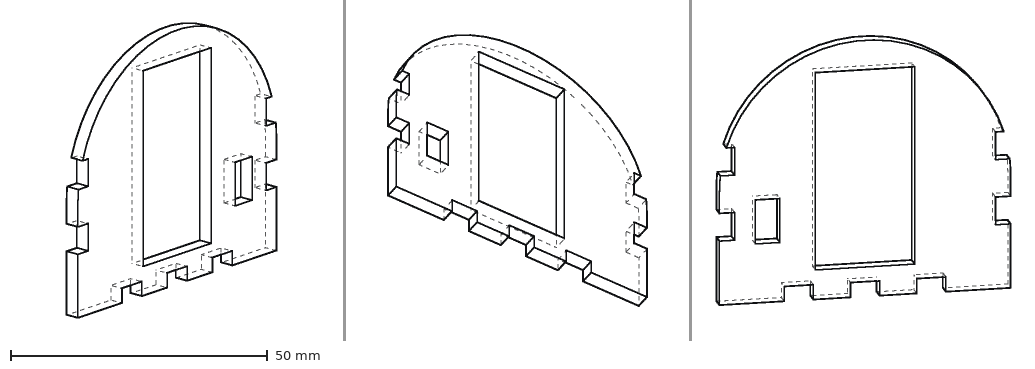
import cadquery as cq

thickness = 3.0
width = 58.0
height = 52.0
arch_radius = width / 2
arch_center_z = height - arch_radius

notch_depth = thickness
notch_pitch = 13.2
bottom_notch_width = 5.8
bottom_notch_centers = [-notch_pitch, 0.0, notch_pitch]
side_notch_height = 5.6
lowest_side_notch_z = 13.0
side_notch_bottoms = [lowest_side_notch_z, lowest_side_notch_z + notch_pitch]

door_width = 19.8
door_height = 40.0
door_sill_z = 6.0

slot_width = 4.9
slot_height = 8.9
slot_center_y = 19.4
slot_bottom_z = 12.0


def block(center_y, bottom_z, size_y, size_z):
    """Box through the full plate thickness, placed by its center in Y and its bottom in Z."""
    return (
        cq.Workplane("XY")
        .box(thickness, size_y, size_z, centered=(True, True, False))
        .translate((0, center_y, bottom_z))
    )


def arched_plate():
    return (
        cq.Workplane("YZ")
        .moveTo(-width / 2, 0)
        .lineTo(width / 2, 0)
        .lineTo(width / 2, arch_center_z)
        .threePointArc((0, height), (-width / 2, arch_center_z))
        .close()
        .extrude(thickness / 2, both=True)
    )


def cut_bottom_notches(plate):
    for center_y in bottom_notch_centers:
        plate = plate.cut(block(center_y, 0, bottom_notch_width, notch_depth))
    return plate


def cut_side_notches(plate):
    notch_center_y = (width - notch_depth) / 2
    for side in (-1, 1):
        for bottom_z in side_notch_bottoms:
            plate = plate.cut(block(side * notch_center_y, bottom_z, notch_depth, side_notch_height))
    return plate


def cut_openings(plate):
    plate = plate.cut(block(0, door_sill_z, door_width, door_height))
    return plate.cut(block(slot_center_y, slot_bottom_z, slot_width, slot_height))


result = cut_openings(cut_side_notches(cut_bottom_notches(arched_plate())))